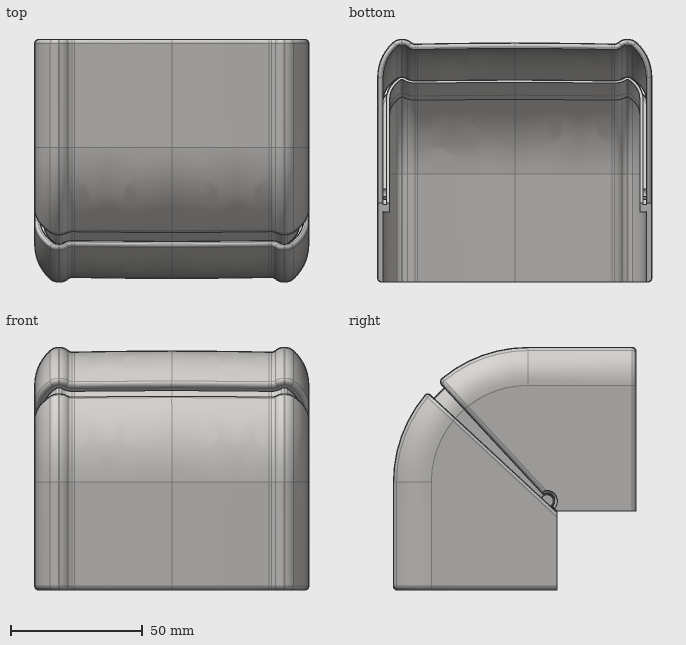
import cadquery as cq
import math


WIDTH = 104.2
REACH = 92.2
ARM_DEPTH = 62.2
CORNER_RADIUS = 51.1
ARM_LENGTH = REACH - CORNER_RADIUS

BEAD_FROM_SIDE = 9.3
BEAD_FLAT = 0.5
BEAD_RADIUS = 4.7
BEAD_ANGLE = math.radians(42)
PANEL_DROP = 1.8
PANEL_CROWN = 0.4
PANEL_LAND = 0.9

WALL = 2.1
END_FILLET = 1.6

HINGE_Y = 58.3
HINGE_Z = REACH - HINGE_Y
CUT_OFFSET = 0.6
BISECTOR_ANGLE = 45.0
HALF_OPENING = 2.2
UPPER_EDGE_ANGLE = BISECTOR_ANGLE + HALF_OPENING
LOWER_EDGE_ANGLE = BISECTOR_ANGLE - HALF_OPENING
UPPER_LIP_FILLET = 1.8
LOWER_LIP_FILLET = 1.2

SLEEVE_INSET = 3.3
SLEEVE_WALL = 1.2
SLEEVE_INNER = SLEEVE_INSET + SLEEVE_WALL
SLEEVE_OVERLAP = 1.6
COLLAR_WIDTH = 2.1
COLLAR_OFFSET = CUT_OFFSET + COLLAR_WIDTH

DISC_RADIUS = 2.4
DISC_INSET = 1.2
OPENING_RADIUS = 2.9
OPENING_CHAMFER = 1.0
FOOT_GAP = 0.4

FAR = 2 * REACH


def section(plane, inset, depth):
    """Closed cross section, with the beads at height 0; inset moves its contour inwards."""
    sin_a = math.sin(BEAD_ANGLE)
    cos_a = math.cos(BEAD_ANGLE)
    sin_half = math.sin(BEAD_ANGLE / 2)
    cos_half = math.cos(BEAD_ANGLE / 2)
    bead_x = BEAD_FROM_SIDE - WIDTH / 2
    flat_left = bead_x - BEAD_FLAT / 2
    flat_right = bead_x + BEAD_FLAT / 2

    shoulder = (flat_left + WIDTH / 2 - BEAD_RADIUS * sin_a) / (1 - sin_a)
    shoulder_x = shoulder - WIDTH / 2
    shoulder_z = (BEAD_RADIUS - shoulder) * cos_a - BEAD_RADIUS
    hollow = PANEL_DROP / (1 - cos_a) - BEAD_RADIUS
    hollow_x = flat_right + (BEAD_RADIUS + hollow) * sin_a
    hollow_z = hollow - PANEL_DROP
    crown_x = hollow_x + PANEL_LAND
    crown_mid_z = PANEL_CROWN * 3 / 4 - PANEL_DROP

    bead_r = BEAD_RADIUS - inset
    shoulder_r = shoulder - inset
    hollow_r = hollow + inset
    shoulder_mid = (BEAD_ANGLE + math.pi / 2) / 2
    half = (
        cq.Workplane(plane)
        .moveTo(0, -depth)
        .lineTo(inset - WIDTH / 2, -depth)
        .lineTo(inset - WIDTH / 2, shoulder_z)
        .threePointArc(
            (
                shoulder_x - shoulder_r * math.sin(shoulder_mid),
                shoulder_z + shoulder_r * math.cos(shoulder_mid),
            ),
            (shoulder_x - shoulder_r * sin_a, shoulder_z + shoulder_r * cos_a),
        )
        .threePointArc(
            (flat_left - bead_r * sin_half, bead_r * cos_half - BEAD_RADIUS),
            (flat_left, -inset),
        )
        .lineTo(flat_right, -inset)
        .threePointArc(
            (flat_right + bead_r * sin_half, bead_r * cos_half - BEAD_RADIUS),
            (flat_right + bead_r * sin_a, bead_r * cos_a - BEAD_RADIUS),
        )
        .threePointArc(
            (hollow_x - hollow_r * sin_half, hollow_z - hollow_r * cos_half),
            (hollow_x, -PANEL_DROP - inset),
        )
        .lineTo(crown_x, -PANEL_DROP - inset)
        .threePointArc(
            (crown_x / 2, crown_mid_z - inset),
            (0, -PANEL_DROP + PANEL_CROWN - inset),
        )
    )
    return half.mirrorY()


def elbow(inset):
    """Solid elbow: two straight arms and the bend between them."""
    upper_end = cq.Plane(origin=(0, REACH, REACH), xDir=(1, 0, 0), normal=(0, -1, 0))
    lower_end = cq.Plane(origin=(0, 0, 0), xDir=(1, 0, 0), normal=(0, 0, -1))
    bend_start = cq.Plane(origin=(0, CORNER_RADIUS, REACH), xDir=(1, 0, 0), normal=(0, -1, 0))
    upper_arm = section(upper_end, inset, ARM_DEPTH).extrude(ARM_LENGTH)
    lower_arm = section(lower_end, inset, ARM_DEPTH).extrude(-ARM_LENGTH)
    bend = section(bend_start, inset, CORNER_RADIUS).revolve(
        90, (0, -CORNER_RADIUS), (1, -CORNER_RADIUS)
    )
    return upper_arm.union(bend).union(lower_arm)


def above_cut(angle, offset=0.0):
    """Block on the upper side of a cut plane.

    The plane rises from -Y by the angle, and lies at the offset above the hinge axis.
    """
    a = math.radians(angle)
    cut_plane = cq.Plane(
        origin=(0, HINGE_Y, HINGE_Z),
        xDir=(0, -math.cos(a), math.sin(a)),
        normal=(0, math.sin(a), math.cos(a)),
    )
    return cq.Workplane(cut_plane).workplane(offset=offset).box(
        FAR, FAR, FAR, centered=(True, True, False)
    )


def round_rim(body, face_selector, open_side_selector, radius):
    """Fillet the outer rim of an end face, leaving out its edge on the open inner side."""
    face = body.faces(face_selector)
    rim = face.edges().vals()
    open_side = body.faces(open_side_selector).edges().vals()
    rounded = [edge for edge in rim if not any(edge.isSame(other) for other in open_side)]
    return body.newObject([body.val().fillet(radius, rounded)])


def hinge_discs(radius, outer_inset, inner_inset, outer_flare=0.0):
    """Pair of mirrored hinge discs between two insets from the sides, wider outside by the flare."""
    profile = [
        (outer_inset - WIDTH / 2, 0),
        (outer_inset - WIDTH / 2, radius + outer_flare),
        (inner_inset - WIDTH / 2, radius),
        (inner_inset - WIDTH / 2, 0),
    ]
    disc = (
        cq.Workplane("XY", origin=(0, HINGE_Y, HINGE_Z))
        .polyline(profile)
        .close()
        .revolve(360, (0, 0), (1, 0))
    )
    return disc.union(disc.mirror("YZ"))


def lip_face(angle, upwards):
    """Selector of the flat lip face on a cut plane, facing upwards or downwards."""
    a = math.radians(angle)
    direction = cq.Vector(0, math.sin(a), math.cos(a))
    return cq.selectors.DirectionMinMaxSelector(direction, upwards)


def make_sleeve():
    """Thin elbow segment, set inwards, from the upper shell's collar into the lower shell."""
    sleeve = elbow(SLEEVE_INSET).cut(elbow(SLEEVE_INNER))
    sleeve = sleeve.intersect(above_cut(LOWER_EDGE_ANGLE, -CUT_OFFSET - SLEEVE_OVERLAP))
    return sleeve.cut(above_cut(UPPER_EDGE_ANGLE, COLLAR_OFFSET))


def make_foot():
    """Corner of the upper shell beyond the hinge, which follows the cut edge of the lower shell."""
    beyond_hinge = cq.Workplane("XY", origin=(0, HINGE_Y, 0)).box(
        WIDTH, FAR, FAR, centered=(True, False, True)
    )
    foot_block = above_cut(LOWER_EDGE_ANGLE, FOOT_GAP - CUT_OFFSET).intersect(beyond_hinge)
    past_collar = above_cut(UPPER_EDGE_ANGLE, COLLAR_OFFSET)
    return elbow(0).cut(elbow(WALL)).intersect(foot_block.cut(past_collar))


def make_upper_shell():
    body = elbow(0).intersect(above_cut(UPPER_EDGE_ANGLE, CUT_OFFSET))
    body = round_rim(body, ">Y", "<Z", END_FILLET)
    body = round_rim(body, lip_face(UPPER_EDGE_ANGLE, False), "<Z", UPPER_LIP_FILLET)

    body = body.cut(elbow(WALL).intersect(above_cut(UPPER_EDGE_ANGLE, COLLAR_OFFSET)))
    body = body.cut(elbow(SLEEVE_INNER))
    body = body.union(make_sleeve()).union(make_foot())

    body = body.cut(hinge_discs(OPENING_RADIUS, 0, SLEEVE_INSET))
    return body.cut(hinge_discs(OPENING_RADIUS, 0, OPENING_CHAMFER, OPENING_CHAMFER))


def make_lower_shell():
    body = elbow(0).cut(above_cut(LOWER_EDGE_ANGLE, -CUT_OFFSET))
    body = round_rim(body, "<Z", ">Y", END_FILLET)
    body = round_rim(body, lip_face(LOWER_EDGE_ANGLE, True), ">Y", LOWER_LIP_FILLET)
    body = body.cut(elbow(WALL))
    return body.union(hinge_discs(DISC_RADIUS, DISC_INSET, WALL))


upper_shell = make_upper_shell()
lower_shell = make_lower_shell()
result = cq.Compound.makeCompound(
    [
        *upper_shell.solids().vals(),
        *lower_shell.solids().vals(),
    ]
)